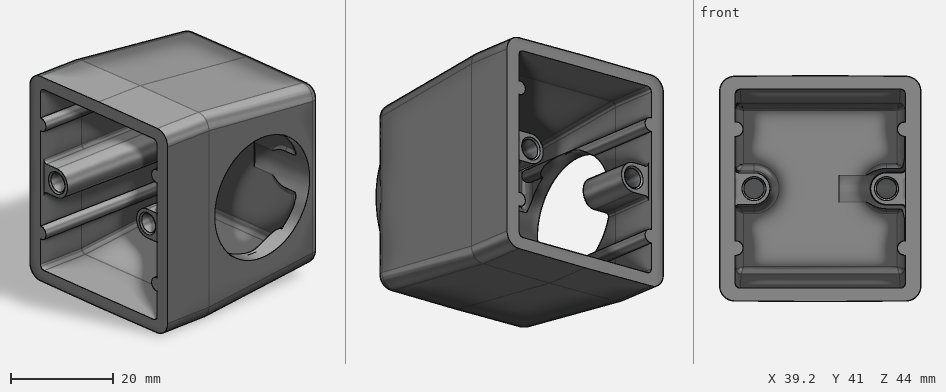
import cadquery as cq
import math

HEIGHT = 44.0
WIDTH = 39.2
DEPTH = 41.0
RIM_DEPTH = 11.0
BACK_HEIGHT = 38.3
BACK_WIDTH = 38.3
CROWN_SLOPE = 0.007
CORNER_RADIUS = 3.0
BACK_FILLET = 2.0

SIDE_WALL = 3.05
TOP_WALL = 2.65
BACK_WALL = 3.0
CAVITY_CORNER_RADIUS = 1.0
FLOOR_FILLET = 1.5
FLOOR_WIDTH = 32.82
cavity_width = WIDTH - 2 * SIDE_WALL
cavity_height = HEIGHT - 2 * TOP_WALL
floor_height = BACK_HEIGHT - 2 * TOP_WALL
floor_y = DEPTH - BACK_WALL
tool_end_y = floor_y + BACK_WALL / 2

BOSS_OFFSET = 12.9
BOSS_RADIUS = 3.1
BOSS_SETBACK = 0.9
BOSS_DRAFT = 0.5
BOSS_WALL_FILLET = 0.75
BORE_RADIUS = 2.0
BORE_CHAMFER = 0.35

RIB_OFFSET = 11.55
RIB_RADIUS = 1.4
RIB_INSET = 0.15

ENTRY_RADIUS = 12.85
ENTRY_Y = 25.45
ENTRY_END = 3.7

PAD_RADIUS = 25.1

EDGE_MARGIN = 0.45


def y_plane(y):
    """Plane at the given Y with local axes X and Z; negative extrusions go towards the back."""
    return cq.Plane(origin=(0, y, 0), xDir=(1, 0, 0), normal=(0, -1, 0))


def crowned_outline(width, height):
    """Rounded rectangle whose top and bottom rise slightly to the middle."""
    side_x = width / 2
    crown_z = height / 2
    side_z = crown_z - CROWN_SLOPE * side_x
    points = [
        (-side_x, -side_z), (0, -crown_z), (side_x, -side_z),
        (side_x, side_z), (0, crown_z), (-side_x, side_z),
    ]
    outline = cq.Sketch().polygon(points + points[:1])
    return outline.vertices("<X or >X").fillet(CORNER_RADIUS)


def cavity_outline(width, height):
    return cq.Sketch().rect(width, height)


def straight_and_tapered(outline, front_size, back_size, depth):
    """Straight length behind the opening, then a taper to the back size."""
    front = outline(*front_size)
    straight = cq.Workplane(y_plane(0)).placeSketch(front).extrude(-RIM_DEPTH)
    taper_length = depth - RIM_DEPTH
    back = outline(*back_size).moved(cq.Location(cq.Vector(0, 0, -taper_length)))
    taper = cq.Workplane(y_plane(RIM_DEPTH)).placeSketch(front, back).loft(ruled=True)
    return straight.union(taper)


def make_body():
    body = straight_and_tapered(crowned_outline, (WIDTH, HEIGHT), (BACK_WIDTH, BACK_HEIGHT), DEPTH)
    return body.faces(">Y").edges().fillet(BACK_FILLET)


def make_cavity():
    return straight_and_tapered(
        cavity_outline, (cavity_width, cavity_height), (FLOOR_WIDTH, floor_height), floor_y
    )


def make_boss(side):
    """U-shaped boss joined to a side wall; side is -1 or +1."""
    axis_x = side * BOSS_OFFSET
    wall_x = side * (WIDTH - SIDE_WALL) / 2
    length = tool_end_y - BOSS_SETBACK
    plane = y_plane(BOSS_SETBACK)
    post = cq.Workplane(plane).center(axis_x, 0).circle(BOSS_RADIUS).extrude(-length, taper=-BOSS_DRAFT)
    web = (
        cq.Workplane(plane)
        .center((axis_x + wall_x) / 2, 0)
        .rect(abs(wall_x - axis_x), 2 * BOSS_RADIUS)
        .extrude(-length, taper=-BOSS_DRAFT)
    )
    return post.union(web)


def make_bore(side):
    plane = y_plane(BOSS_SETBACK)
    centre = side * BOSS_OFFSET
    bore = cq.Workplane(plane).center(centre, 0).circle(BORE_RADIUS).extrude(BOSS_SETBACK - floor_y)
    mouth = cq.Solid.makeCone(
        BORE_RADIUS + BORE_CHAMFER, BORE_RADIUS, BORE_CHAMFER,
        pnt=cq.Vector(centre, BOSS_SETBACK, 0), dir=cq.Vector(0, 1, 0),
    )
    return bore.union(cq.Workplane(mouth))


def make_ribs():
    rib_x = cavity_width / 2 - RIB_INSET
    centres = [(sx * rib_x, sz * RIB_OFFSET) for sx in (-1, 1) for sz in (-1, 1)]
    return cq.Workplane(y_plane(0)).pushPoints(centres).circle(RIB_RADIUS).extrude(-tool_end_y)


def make_entry():
    plane = cq.Plane(origin=(ENTRY_END, ENTRY_Y, 0), xDir=(0, 1, 0), normal=(1, 0, 0))
    return cq.Workplane(plane).circle(ENTRY_RADIUS).extrude(WIDTH)


def make_pad():
    tip_x = -BACK_WIDTH / 2
    root_x = tip_x + BACK_FILLET
    half_chord = math.sqrt(PAD_RADIUS**2 - (PAD_RADIUS - BACK_FILLET) ** 2)
    return (
        cq.Workplane(y_plane(DEPTH - BACK_FILLET))
        .moveTo(root_x, -half_chord)
        .threePointArc((tip_x, 0), (root_x, half_chord))
        .close()
        .extrude(-BACK_FILLET)
    )


def side_wall_edges(tool, low_z, high_z):
    """Lengthwise edges on the cavity side walls with |Z| between the two limits."""
    half_floor = FLOOR_WIDTH / 2
    boxes = [
        cq.selectors.BoxSelector(
            (x - EDGE_MARGIN, EDGE_MARGIN, sign * low_z),
            (x + EDGE_MARGIN, floor_y - EDGE_MARGIN, sign * high_z),
        )
        for x in (-half_floor, half_floor)
        for sign in (-1, 1)
    ]
    picked = boxes[0]
    for box in boxes[1:]:
        picked = picked + box
    return tool.edges(picked)


cavity = make_cavity()
for side in (-1, 1):
    cavity = cavity.cut(make_boss(side))
cavity = cavity.faces(">Y").edges().fillet(FLOOR_FILLET)
boss_edges = side_wall_edges(cavity, BOSS_RADIUS - EDGE_MARGIN, BOSS_RADIUS + EDGE_MARGIN)
cavity = boss_edges.fillet(BOSS_WALL_FILLET)
corner_edges = side_wall_edges(
    cavity, floor_height / 2 - EDGE_MARGIN, cavity_height / 2 + EDGE_MARGIN
)
cavity = corner_edges.fillet(CAVITY_CORNER_RADIUS)
cavity = cavity.cut(make_ribs())

result = make_body().union(make_pad()).cut(cavity)
for side in (-1, 1):
    result = result.cut(make_bore(side))
result = result.cut(make_entry())